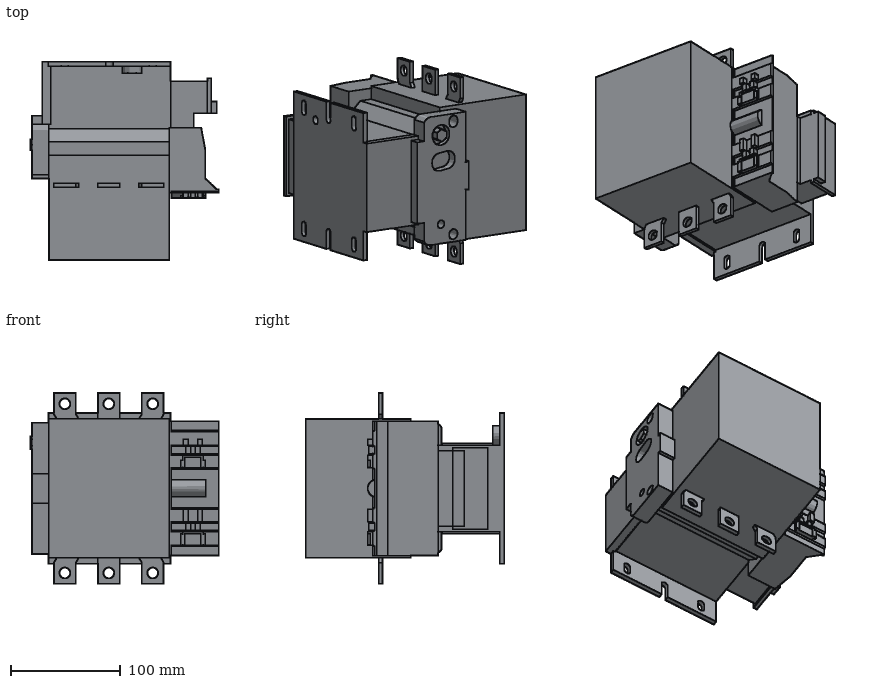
import cadquery as cq
import math


PLATE_LEFT = -55.1
PLATE_RIGHT = 56.4
PLATE_CENTRE = (PLATE_LEFT + PLATE_RIGHT) / 2
PLATE_HALF_HEIGHT = 68.7
PLATE_THICKNESS = 4.2
PLATE_SLOT_WIDTH = 6.4
PLATE_SLOT_LENGTH = 13.5
PLATE_SLOT_Z = 56.5
OPEN_SLOT_CENTRE_Z = 52.6

BOSS_DIAMETER = 17.6
BOSS_HEIGHT = 6.3
BOSS_HOLE_DIAMETER = 7.5
BOSS_X = 21.2
BOSS_Z = 48.3

REAR_HALF_HEIGHT = 39.5
SIDE_PANEL_LEFT = -60.6
SIDE_PANEL_RIGHT = -52.9
SIDE_PANEL_DEPTH = 56.9
SIDE_PANEL_HALF_HEIGHT = 41.3

BODY_LEFT = -54.5
BODY_RIGHT = 55.1
BODY_FRONT = -180.75
BODY_HALF_HEIGHT = 63.3
BODY_BACK = -60.9
LEDGE_BACK = -73.1
LEDGE_FRONT = -85.1
LEDGE_HALF_HEIGHT = 51

POLE_PITCH = 40
POLE_WIDTH = 20
POLE_TOP = 87
POLE_FRONT = -114.4
POLE_THICKNESS = 3.7
POLE_HOLE_DIAMETER = 9.6
POLE_HOLE_FROM_END = 10
POLE_JOG = 2.6
POLE_JOG_TOP = 67.5

BLOCK_LEFT = -70.1
BLOCK_BACK = -57
BLOCK_FRONT = -103.2
BLOCK_HALF_HEIGHT = 59.8
BLOCK_CORNER_RADIUS = 8.4
BLOCK_BACK_HALF_HEIGHT = 55.4
BACK_TONGUE_Y = -49.2
BACK_TONGUE_HALF_HEIGHT = 38
FRONT_TONGUE_Y = -106.5
FRONT_TONGUE_HALF_HEIGHT = 13.4
FRONT_TONGUE_ROOT_HALF_HEIGHT = 12.7
BOLT_Y = -75.7
BOLT_Z = 41.6
BOLT_RECESS_DIAMETER = 18.8
BOLT_RECESS_DEPTH = 6.5
BOLT_ACROSS_FLATS = 10.4
BOLT_PROTRUSION = 1.5
SMALL_HOLE_DIAMETER = 7.3
CORNER_HOLE_DIAMETER = 9.3
CORNER_HOLE_Y = -89.4
CORNER_HOLE_Z = 52.6
CORNER_SLOT_LENGTH = 10.7
OVAL_DEPTH = 9
OVAL_RADIUS = 8.3
OVAL_BACK_CENTRE = (-74, 16.6)
OVAL_FRONT_CENTRE = (-82.9, 17.6)

MODULE_HALF_HEIGHT = 61.2
MODULE_BACK = -60.1
MODULE_BACK_RIGHT = 84.2
MODULE_TAPER_END = -79.9
MODULE_RIGHT = 87.9
MODULE_FLARE_START = -106.3
MODULE_FLARE_RIGHT = 98.2
MODULE_LIP_BACK = -116.1
MODULE_LIP_RIGHT = 100.2
MODULE_FRONT = -119.6
GROOVE_LEFT = 57
GROOVE_FLOOR = -118
GROOVE_BEVEL = 1.2
MIDDLE_GROOVE = (-17.6, 17.6)
INNER_GROOVE = (31.6, 38.2)
OUTER_GROOVE = (52.9, MODULE_HALF_HEIGHT)

ROLLER_RADIUS = 8
ROLLER_Y = -116.3
ROLLER_RIGHT = 88.4

INDICATOR_CENTRE_X = 76.6
INDICATOR_FRONT = -124.3
HEAD_WIDTH = 22
HEAD_BACK = -122
NECK_WIDTH = 18.6
WINDOW_WIDTH = 14.5
WINDOW_FLOOR = -123.3
LEG_FRONT = WINDOW_FLOOR
LEG_SPACING = 8.6
LEG_WIDTH = 4.4
PEG_SPACING = 13.1
PEG_WIDTH = 4.2
UPPER_INDICATOR = (44.8, 25.7, 28.4)
LOWER_INDICATOR = (-18.8, -41.3, -41.3)

COIL_BACK = -17.8
COIL_STEP_Y = -47.1
COIL_RIGHT = 89.8
COIL_NECK_RIGHT = 77.5
COIL_HALF_HEIGHT = 34.4
TAB_RIGHT = 93.4
TAB_BACK = -15
TAB_HALF_HEIGHT = 37.2
STUD_RIGHT = 98.3
STUD_BACK = -36.2


def box(x_range, y_range, z_range):
    """Axis-aligned box from (low, high) pairs in any order."""
    ranges = [sorted(r) for r in (x_range, y_range, z_range)]
    sizes = [high - low for low, high in ranges]
    corner = tuple(low for low, high in ranges)
    return cq.Workplane("XY").box(*sizes, centered=False).translate(corner)


def centred_box(x_centre, width, y_range, z_range):
    return box((x_centre - width / 2, x_centre + width / 2), y_range, z_range)


def symmetric_box(x_range, y_range, half_height):
    return box(x_range, y_range, (-half_height, half_height))


def facing_front(y):
    """XZ plane at depth y; extruding positively goes toward -Y."""
    return cq.Workplane("XZ", origin=(0, y, 0))


def side_profile(points, x_start, x_end):
    """Outline of (Y, Z) points extruded along X."""
    outline = cq.Workplane("YZ", origin=(x_start, 0, 0)).polyline(points).close()
    return outline.extrude(x_end - x_start)


def mirrored_in_z(upper):
    return upper.union(upper.mirror("XY"))


def mounting_plate():
    plate = symmetric_box((PLATE_LEFT, PLATE_RIGHT), (-PLATE_THICKNESS, 0), PLATE_HALF_HEIGHT)
    slots = (
        facing_front(0)
        .pushPoints([(-POLE_PITCH, PLATE_SLOT_Z), (POLE_PITCH, PLATE_SLOT_Z)])
        .slot2D(PLATE_SLOT_LENGTH, PLATE_SLOT_WIDTH, 90)
        .extrude(PLATE_THICKNESS)
    )
    open_slot = (
        facing_front(0)
        .center(PLATE_CENTRE, OPEN_SLOT_CENTRE_Z)
        .circle(PLATE_SLOT_WIDTH / 2)
        .extrude(PLATE_THICKNESS)
    )
    open_slot = open_slot.union(
        centred_box(PLATE_CENTRE, PLATE_SLOT_WIDTH, (-PLATE_THICKNESS, 0),
                    (OPEN_SLOT_CENTRE_Z, PLATE_HALF_HEIGHT))
    )
    plate = plate.cut(mirrored_in_z(slots.union(open_slot)))
    boss_reach = PLATE_THICKNESS + BOSS_HEIGHT
    boss = facing_front(0).center(BOSS_X, BOSS_Z).circle(BOSS_DIAMETER / 2).extrude(boss_reach)
    hole = facing_front(0).center(BOSS_X, BOSS_Z).circle(BOSS_HOLE_DIAMETER / 2).extrude(boss_reach)
    return plate.union(boss).cut(hole)


def rear_housing():
    core = symmetric_box((SIDE_PANEL_LEFT, PLATE_RIGHT), (BODY_BACK, 0), REAR_HALF_HEIGHT)
    core = core.cut(symmetric_box((SIDE_PANEL_LEFT, BODY_LEFT), (BODY_BACK, -SIDE_PANEL_DEPTH),
                                  REAR_HALF_HEIGHT))
    panel = symmetric_box((SIDE_PANEL_LEFT, SIDE_PANEL_RIGHT), (-SIDE_PANEL_DEPTH, 0),
                          SIDE_PANEL_HALF_HEIGHT)
    return core.union(panel)


def front_housing():
    upper = [
        (BODY_BACK, REAR_HALF_HEIGHT),
        (LEDGE_BACK, LEDGE_HALF_HEIGHT),
        (LEDGE_FRONT, LEDGE_HALF_HEIGHT),
        (LEDGE_FRONT, BODY_HALF_HEIGHT),
        (BODY_FRONT, BODY_HALF_HEIGHT),
    ]
    lower = [(y, -z) for y, z in reversed(upper)]
    return side_profile(upper + lower, BODY_LEFT, BODY_RIGHT)


def pole_terminal(x_centre, jog):
    """Upper terminal strip; its root is shifted sideways by jog."""
    left = x_centre - POLE_WIDTH / 2
    right = x_centre + POLE_WIDTH / 2
    strip = (
        facing_front(POLE_FRONT + POLE_THICKNESS)
        .moveTo(left + jog, BODY_HALF_HEIGHT)
        .lineTo(left, POLE_JOG_TOP)
        .lineTo(left, POLE_TOP)
        .lineTo(right, POLE_TOP)
        .lineTo(right, POLE_JOG_TOP)
        .lineTo(right + jog, BODY_HALF_HEIGHT)
        .close()
        .extrude(POLE_THICKNESS)
    )
    hole = (
        facing_front(POLE_FRONT + POLE_THICKNESS)
        .center(x_centre, POLE_TOP - POLE_HOLE_FROM_END)
        .circle(POLE_HOLE_DIAMETER / 2)
        .extrude(POLE_THICKNESS)
    )
    return strip.cut(hole)


def pole_terminals():
    strips = cq.Workplane("XY")
    for side in (-1, 0, 1):
        strips = strips.add(pole_terminal(side * POLE_PITCH, -side * POLE_JOG))
    return mirrored_in_z(strips.combine())


def rounded_slab():
    """Slab whose back corners are arcs running smoothly into the top and bottom."""
    corner_drop = BLOCK_HALF_HEIGHT - BLOCK_BACK_HALF_HEIGHT
    sweep = math.acos(1 - corner_drop / BLOCK_CORNER_RADIUS)
    arc_y = BLOCK_BACK - BLOCK_CORNER_RADIUS * math.sin(sweep)
    middle_y = arc_y + BLOCK_CORNER_RADIUS * math.sin(sweep / 2)
    middle_z = BLOCK_HALF_HEIGHT - BLOCK_CORNER_RADIUS * (1 - math.cos(sweep / 2))
    return (
        on_block_face()
        .moveTo(BLOCK_FRONT, BLOCK_HALF_HEIGHT)
        .lineTo(arc_y, BLOCK_HALF_HEIGHT)
        .threePointArc((middle_y, middle_z), (BLOCK_BACK, BLOCK_BACK_HALF_HEIGHT))
        .lineTo(BLOCK_BACK, -BLOCK_BACK_HALF_HEIGHT)
        .threePointArc((middle_y, -middle_z), (arc_y, -BLOCK_HALF_HEIGHT))
        .lineTo(BLOCK_FRONT, -BLOCK_HALF_HEIGHT)
        .close()
        .extrude(BODY_LEFT - BLOCK_LEFT)
    )


def on_block_face():
    """(Y, Z) plane on the outer face of the left block; it extrudes into the block."""
    return cq.Workplane("YZ", origin=(BLOCK_LEFT, 0, 0))


def oval_recess():
    """Two round ends joined by their outer tangents."""
    back_y, back_z = OVAL_BACK_CENTRE
    front_y, front_z = OVAL_FRONT_CENTRE
    tilt = math.degrees(math.atan2(back_z - front_z, back_y - front_y))
    spacing = math.hypot(back_y - front_y, back_z - front_z)
    return (
        on_block_face()
        .center((back_y + front_y) / 2, (back_z + front_z) / 2)
        .slot2D(spacing + 2 * OVAL_RADIUS, 2 * OVAL_RADIUS, tilt)
        .extrude(OVAL_DEPTH)
    )


def left_block():
    thickness = BODY_LEFT - BLOCK_LEFT
    block = rounded_slab()
    back_tongue = symmetric_box((BLOCK_LEFT, SIDE_PANEL_LEFT), (BLOCK_BACK, BACK_TONGUE_Y),
                                BACK_TONGUE_HALF_HEIGHT)
    front_tongue = side_profile(
        [
            (BLOCK_FRONT, FRONT_TONGUE_ROOT_HALF_HEIGHT),
            (FRONT_TONGUE_Y, FRONT_TONGUE_HALF_HEIGHT),
            (FRONT_TONGUE_Y, -FRONT_TONGUE_HALF_HEIGHT),
            (BLOCK_FRONT, -FRONT_TONGUE_ROOT_HALF_HEIGHT),
        ],
        BLOCK_LEFT,
        BODY_LEFT,
    )
    small_hole = on_block_face().center(BOLT_Y, -BOLT_Z).circle(SMALL_HOLE_DIAMETER / 2)
    corner_hole = on_block_face().center(CORNER_HOLE_Y, -CORNER_HOLE_Z).circle(CORNER_HOLE_DIAMETER / 2)
    corner_slot = (
        on_block_face()
        .center(CORNER_HOLE_Y, CORNER_HOLE_Z)
        .slot2D(CORNER_SLOT_LENGTH, CORNER_HOLE_DIAMETER, 90)
    )
    bolt_recess = on_block_face().center(BOLT_Y, BOLT_Z).circle(BOLT_RECESS_DIAMETER / 2)
    bolt_head = (
        cq.Workplane("YZ", origin=(BLOCK_LEFT - BOLT_PROTRUSION, BOLT_Y, BOLT_Z))
        .polygon(6, BOLT_ACROSS_FLATS, circumscribed=True)
        .extrude(BOLT_PROTRUSION + BOLT_RECESS_DEPTH)
    )
    return (
        block.union(back_tongue)
        .union(front_tongue)
        .cut(small_hole.extrude(thickness))
        .cut(corner_hole.extrude(thickness))
        .cut(corner_slot.extrude(thickness))
        .cut(oval_recess())
        .cut(bolt_recess.extrude(BOLT_RECESS_DEPTH))
        .union(bolt_head)
    )


def module_groove(floor_range):
    """Groove across the module front with sides opening out toward the front."""
    low, high = floor_range
    points = [
        (GROOVE_FLOOR, low),
        (MODULE_FRONT, low - GROOVE_BEVEL),
        (MODULE_FRONT, high + GROOVE_BEVEL),
        (GROOVE_FLOOR, high),
    ]
    return side_profile(points, GROOVE_LEFT, MODULE_LIP_RIGHT)


def auxiliary_module():
    outline = [
        (BODY_RIGHT, MODULE_BACK),
        (MODULE_BACK_RIGHT, MODULE_BACK),
        (MODULE_RIGHT, MODULE_TAPER_END),
        (MODULE_RIGHT, MODULE_FLARE_START),
        (MODULE_FLARE_RIGHT, MODULE_LIP_BACK),
        (MODULE_LIP_RIGHT, MODULE_LIP_BACK),
        (MODULE_LIP_RIGHT, MODULE_FRONT),
        (BODY_RIGHT, MODULE_FRONT),
    ]
    module = (
        cq.Workplane("XY", origin=(0, 0, -MODULE_HALF_HEIGHT))
        .polyline(outline)
        .close()
        .extrude(2 * MODULE_HALF_HEIGHT)
    )
    module = module.cut(module_groove(MIDDLE_GROOVE))
    for groove in (INNER_GROOVE, OUTER_GROOVE):
        module = module.cut(mirrored_in_z(module_groove(groove)))
    roller = (
        cq.Workplane("YZ", origin=(GROOVE_LEFT, ROLLER_Y, 0))
        .circle(ROLLER_RADIUS)
        .extrude(ROLLER_RIGHT - GROOVE_LEFT)
    )
    return module.union(roller)


def contact_indicator(groove, foot_z, levels):
    """Two pegs above a groove, two legs on its floor and a wide head below it."""
    peg_top, head_top, window_top = levels
    groove_low = groove[0] - GROOVE_BEVEL
    groove_high = groove[1] + GROOVE_BEVEL
    neck = centred_box(INDICATOR_CENTRE_X, NECK_WIDTH, (MODULE_FRONT, INDICATOR_FRONT),
                       (foot_z, groove_low))
    head = centred_box(INDICATOR_CENTRE_X, HEAD_WIDTH, (HEAD_BACK, INDICATOR_FRONT), (foot_z, head_top))
    window = centred_box(INDICATOR_CENTRE_X, WINDOW_WIDTH, (WINDOW_FLOOR, INDICATOR_FRONT),
                         (foot_z, window_top))
    indicator = neck.union(head).cut(window)
    for side in (-1, 1):
        leg_x = INDICATOR_CENTRE_X + side * LEG_SPACING / 2
        peg_x = INDICATOR_CENTRE_X + side * PEG_SPACING / 2
        leg = centred_box(leg_x, LEG_WIDTH, (GROOVE_FLOOR, LEG_FRONT), groove)
        peg = centred_box(peg_x, PEG_WIDTH, (MODULE_FRONT, INDICATOR_FRONT), (groove_high, peg_top))
        indicator = indicator.union(leg).union(peg)
    return indicator


def coil_block():
    block = symmetric_box((PLATE_RIGHT, COIL_RIGHT), (COIL_STEP_Y, COIL_BACK), COIL_HALF_HEIGHT)
    neck = symmetric_box((PLATE_RIGHT, COIL_NECK_RIGHT), (MODULE_BACK, COIL_STEP_Y), COIL_HALF_HEIGHT)
    tab = symmetric_box((COIL_RIGHT, TAB_RIGHT), (COIL_STEP_Y, TAB_BACK), TAB_HALF_HEIGHT)
    stud = symmetric_box((TAB_RIGHT, STUD_RIGHT), (COIL_STEP_Y, STUD_BACK), COIL_HALF_HEIGHT)
    return block.union(neck).union(tab).union(stud)


upper_foot = MIDDLE_GROOVE[1] + GROOVE_BEVEL
lower_foot = -(OUTER_GROOVE[0] - GROOVE_BEVEL)
lower_groove = (-INNER_GROOVE[1], -INNER_GROOVE[0])

result = (
    rear_housing()
    .union(mounting_plate())
    .union(front_housing())
    .union(pole_terminals())
    .union(left_block())
    .union(auxiliary_module())
    .union(contact_indicator(INNER_GROOVE, upper_foot, UPPER_INDICATOR))
    .union(contact_indicator(lower_groove, lower_foot, LOWER_INDICATOR))
    .union(coil_block())
)